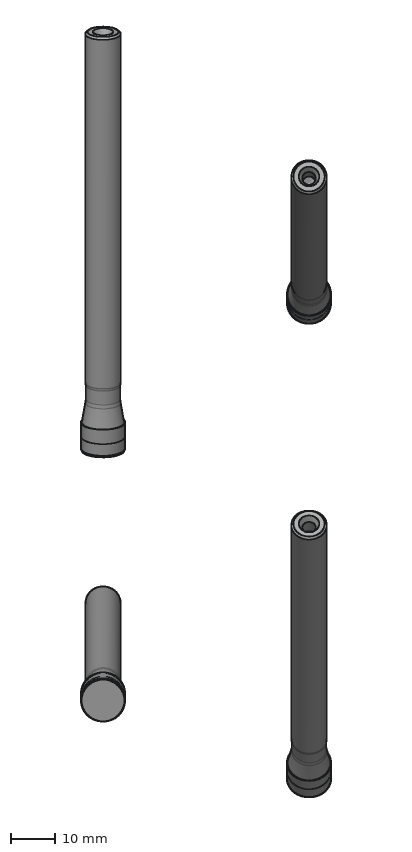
import cadquery as cq

total_length = 100.0

head_diameter = 10.0
head_height = 6.7
head_bottom_chamfer_height = 0.5
head_bottom_chamfer_inset = 0.2
socket_diameter = 9.6
socket_floor = 3.2

shank_diameter = 8.0
shank_start = 16.2
shank_end_chamfer = 0.5
cone_top = 11.4
neck_diameter = 7.8
neck_start = 12.3
neck_end = 15.6

countersink_diameter = 4.6
countersink_depth = 1.4
centre_hole_diameter = 3.0
centre_hole_depth = 5.0
drill_tip_height = 0.9


def revolve_profile(points):
    """Revolve a (radius, z) outline about the Z axis."""
    return cq.Workplane("XZ").polyline(points).close().revolve(360, (0, 0), (0, 1))


def make_head():
    """Cap with a bottom chamfer and a blind socket open at the top."""
    radius = head_diameter / 2
    return revolve_profile([
        (0, 0),
        (radius - head_bottom_chamfer_inset, 0),
        (radius, head_bottom_chamfer_height),
        (radius, head_height),
        (socket_diameter / 2, head_height),
        (socket_diameter / 2, socket_floor),
        (0, socket_floor),
    ])


def make_centre_hole():
    """Countersunk blind hole with a conical drill tip."""
    hole_radius = centre_hole_diameter / 2
    floor = total_length - centre_hole_depth
    return revolve_profile([
        (0, floor - drill_tip_height),
        (hole_radius, floor),
        (hole_radius, total_length - countersink_depth),
        (countersink_diameter / 2, total_length),
        (0, total_length),
    ])


def make_shank():
    """Plug seated in the socket, then cone, neck and long drilled shaft."""
    radius = shank_diameter / 2
    body = revolve_profile([
        (0, socket_floor),
        (socket_diameter / 2, socket_floor),
        (socket_diameter / 2, head_height),
        (radius, cone_top),
        (neck_diameter / 2, neck_start),
        (neck_diameter / 2, neck_end),
        (radius, shank_start),
        (radius, total_length - shank_end_chamfer),
        (radius - shank_end_chamfer, total_length),
        (0, total_length),
    ])
    return body.cut(make_centre_hole())


head = make_head()
shank = make_shank()

result = cq.Compound.makeCompound([head.val(), shank.val()])